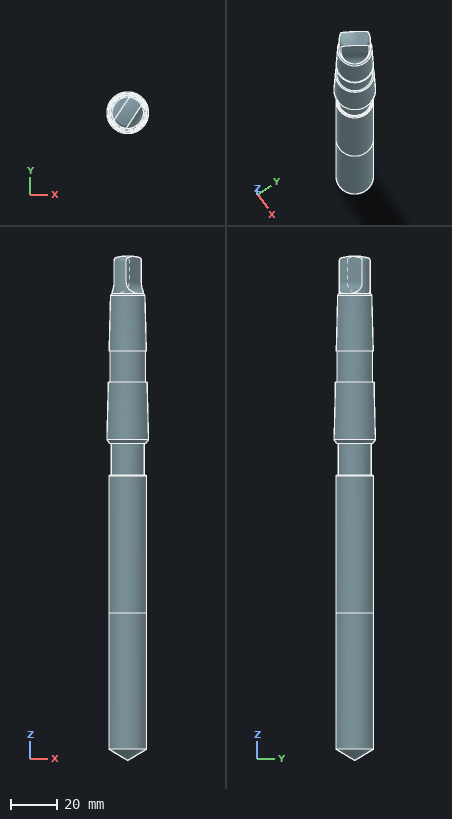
import cadquery as cq
import math

total_length = 218.0
body_radius = 16.4 / 2
point_angle = 118.0
joint_z = 63.7

neck_radius = 14.4 / 2
neck_bottom_z = 123.4
body_chamfer = 0.5

taper_bottom_z = 137.0
taper_top_z = 201.6
taper_large_radius = 18.0 / 2
taper_slope = 0.025
taper_chamfer_width = 1.3
taper_chamfer_height = 1.7
taper_end_chamfer = 0.7

groove_radius = 15.5 / 2
groove_bottom_z = 163.5
groove_top_z = 177.0

tang_radius = 13.5 / 2
tang_thickness = 6.3
tang_angle = 56.5
tang_edge_radius = 1.5
dome_height = 0.7
flat_bottom_z = 206.7
runout_radius = 5.2

taper_start_z = taper_bottom_z + taper_chamfer_height
point_height = body_radius / math.tan(math.radians(point_angle / 2))


def taper_radius(z):
    """Radius of the conical shank at height z."""
    return taper_large_radius - taper_slope * (z - taper_start_z)


def make_cutting_end():
    """Cylinder with a conical point, ending flat at the joint."""
    return (
        cq.Workplane("XZ")
        .lineTo(body_radius, point_height)
        .lineTo(body_radius, joint_z)
        .lineTo(0, joint_z)
        .close()
        .revolve(360, (0, 0), (0, 1))
    )


def turned_shank():
    """Straight body, neck, grooved taper and round tang blank, turned about Z."""
    taper_end_z = taper_top_z - taper_end_chamfer
    rim_radius = tang_radius - tang_edge_radius
    rim_z = total_length - dome_height
    rounding_start_z = rim_z - tang_edge_radius
    dome_radius = (rim_radius**2 + dome_height**2) / (2 * dome_height)
    dome_middle_x = rim_radius / 2
    dome_middle_z = total_length - dome_radius + math.sqrt(dome_radius**2 - dome_middle_x**2)
    arc_offset = tang_edge_radius * math.sqrt(0.5)
    arc_middle = (rim_radius + arc_offset, rounding_start_z + arc_offset)
    return (
        cq.Workplane("XZ")
        .moveTo(0, joint_z)
        .lineTo(body_radius, joint_z)
        .lineTo(body_radius, neck_bottom_z - body_chamfer)
        .lineTo(body_radius - body_chamfer, neck_bottom_z)
        .lineTo(neck_radius, neck_bottom_z)
        .lineTo(neck_radius, taper_bottom_z)
        .lineTo(taper_large_radius - taper_chamfer_width, taper_bottom_z)
        .lineTo(taper_large_radius, taper_start_z)
        .lineTo(taper_radius(groove_bottom_z), groove_bottom_z)
        .lineTo(groove_radius, groove_bottom_z)
        .lineTo(groove_radius, groove_top_z)
        .lineTo(taper_radius(groove_top_z), groove_top_z)
        .lineTo(taper_radius(taper_end_z), taper_end_z)
        .lineTo(taper_radius(taper_end_z) - taper_end_chamfer, taper_top_z)
        .lineTo(tang_radius, taper_top_z)
        .lineTo(tang_radius, rounding_start_z)
        .threePointArc(arc_middle, (rim_radius, rim_z))
        .threePointArc((dome_middle_x, dome_middle_z), (0, total_length))
        .close()
        .revolve(360, (0, 0), (0, 1))
    )


def flat_cutter(turn):
    """Block with a rounded lower edge that mills one tang flat, turned about Z."""
    flat_offset = tang_thickness / 2
    outer_offset = flat_offset + 2 * runout_radius
    cutter_length = 4 * taper_large_radius
    cutter_bottom_z = flat_bottom_z - runout_radius
    cutter_height = total_length + 2.2 - cutter_bottom_z
    return (
        cq.Workplane("XY")
        .box(cutter_length, outer_offset - flat_offset, cutter_height, centered=(True, False, False))
        .translate((0, flat_offset, cutter_bottom_z))
        .edges("<Y and <Z")
        .fillet(runout_radius)
        .rotate((0, 0, 0), (0, 0, 1), turn)
    )


def make_shank():
    """Turned shank with two opposite flats milled on the tang."""
    shank = turned_shank()
    for side in (0, 180):
        shank = shank.cut(flat_cutter(tang_angle + side))
    return shank


cutting_end = make_cutting_end()
shank = make_shank()

result = cq.Compound.makeCompound([cutting_end.val(), *shank.vals()])